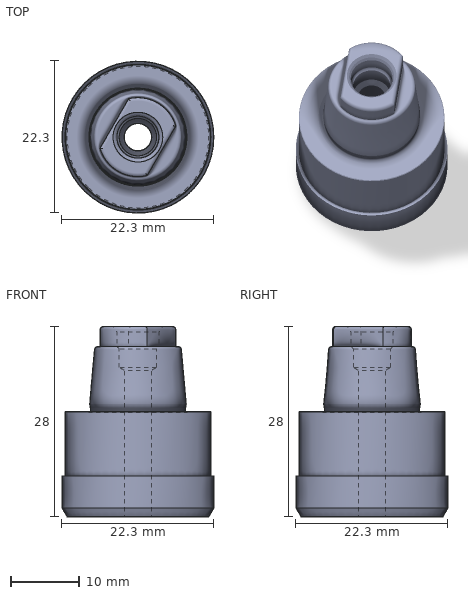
import cadquery as cq
import math

total_height = 27.95
collar_top = 6.0
body_top = 15.5
neck_top = 25.0

collar_radius = 11.15
collar_chamfer_width = 0.75
collar_chamfer_angle = math.radians(30)
collar_chamfer_height = collar_chamfer_width / math.tan(collar_chamfer_angle)

body_radius = 10.7
body_edge_chamfer = 0.1
recess_outer_radius = 7.8
recess_floor_radius = 7.2
recess_slope = math.radians(15)
recess_floor = body_top - (recess_outer_radius - recess_floor_radius) * math.tan(recess_slope)

neck_foot_radius = 7.0
neck_max_radius = 7.1
neck_top_radius = 6.35
neck_foot_top = 15.95
neck_taper_start = 16.55
neck_edge_fillet = 0.5
neck_root_radius = recess_floor_radius - neck_foot_radius

tang_radius = 5.8
tang_across_flats = 8.0
tang_angle = 60.0
tang_edge_fillet = 0.5

through_radius = 2.0
pilot_radius = 2.75
bore_radius = 3.08
mouth_inner_radius = 3.3
mouth_outer_radius = 3.65
mouth_depth = 0.4
lead_in_depth = 0.84
bore_depth = 2.95
pilot_depth = 6.0
bore_floor_slope = math.radians(45)
pilot_floor_slope = math.radians(30)


def make_base():
    """Collar, body and conical recess as one turned profile."""
    profile = [
        (0, 0),
        (collar_radius - collar_chamfer_width, 0),
        (collar_radius, collar_chamfer_height),
        (collar_radius, collar_top),
        (body_radius, collar_top),
        (body_radius, body_top - body_edge_chamfer),
        (body_radius - body_edge_chamfer, body_top),
        (recess_outer_radius, body_top),
        (recess_floor_radius, recess_floor),
        (0, recess_floor),
    ]
    return cq.Workplane("XZ").polyline(profile).close().revolve(360, (0, 0), (0, 1))


def make_neck():
    """Tapered neck with a rounded top edge, standing on the recess floor."""
    neck = (
        cq.Workplane("XZ")
        .moveTo(0, recess_floor)
        .lineTo(recess_floor_radius, recess_floor)
        .radiusArc((neck_foot_radius, recess_floor + neck_root_radius), neck_root_radius)
        .lineTo(neck_foot_radius, neck_foot_top)
        .lineTo(neck_max_radius, neck_taper_start)
        .lineTo(neck_top_radius, neck_top)
        .lineTo(0, neck_top)
        .close()
        .revolve(360, (0, 0), (0, 1))
    )
    return neck.faces(">Z").edges().fillet(neck_edge_fillet)


def make_tang():
    """Round tang with two parallel flats and a rounded top edge."""
    height = total_height - neck_top
    tang = cq.Workplane("XY").circle(tang_radius).extrude(height)
    flats = cq.Workplane("XY").rect(2 * tang_radius, tang_across_flats).extrude(height)
    tang = tang.intersect(flats).faces(">Z").edges().fillet(tang_edge_fillet)
    return tang.rotate((0, 0, 0), (0, 0, 1), tang_angle).translate((0, 0, neck_top))


def make_bore():
    """Stepped bore: two-stage mouth, bore, pilot bore and through hole, joined by cones."""
    bore_floor_drop = (bore_radius - pilot_radius) * math.tan(bore_floor_slope)
    pilot_floor_drop = (pilot_radius - through_radius) * math.tan(pilot_floor_slope)
    profile = [
        (0, 0),
        (through_radius, 0),
        (through_radius, total_height - pilot_depth - pilot_floor_drop),
        (pilot_radius, total_height - pilot_depth),
        (pilot_radius, total_height - bore_depth - bore_floor_drop),
        (bore_radius, total_height - bore_depth),
        (bore_radius, total_height - lead_in_depth),
        (mouth_inner_radius, total_height - mouth_depth),
        (mouth_outer_radius, total_height),
        (0, total_height),
    ]
    return cq.Workplane("XZ").polyline(profile).close().revolve(360, (0, 0), (0, 1))


result = make_base().union(make_neck()).union(make_tang()).cut(make_bore())